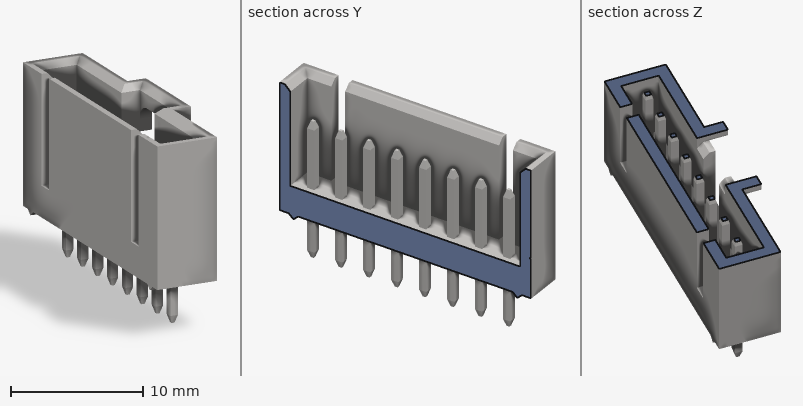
import cadquery as cq


body_length = 22.85
body_depth = 5.05
body_height = 11.43
rim_width = 0.5
lead_in = 0.5
wall = rim_width + lead_in
floor_height = 2.54

key_width = 7.64
key_projection = 1.55
key_height = 3.8
key_window_height = 2.17
key_window_radius = 1.15
key_inner_width = key_width - 2 * wall

back_notch_width = 3.06
front_slot_width = 1.25
front_slot_spacing = 15.22

pin_count = 8
pin_pitch = 2.54
pin_width = 0.65
pin_tip_width = 0.25
pin_tip_length = 0.65
tail_length = 3.68
contact_height = 5.95

rib_width = 0.87
rib_height = 0.4
rib_spacing = pin_count * pin_pitch

front_face = -body_depth / 2
back_face = body_depth / 2
key_face = back_face + key_projection
key_bottom = body_height - key_height
key_window_top = key_bottom + key_window_height


def block(x_size, y_range, z_range, x_center=0.0):
    """Box centred on x_center, spanning the given Y and Z ranges."""
    y_size = y_range[1] - y_range[0]
    z_size = z_range[1] - z_range[0]
    return (
        cq.Workplane("XY")
        .box(x_size, y_size, z_size, centered=(True, False, False))
        .translate((x_center, y_range[0], z_range[0]))
    )


def tapered_opening(x_size, y_range, bottom, top):
    """Rectangular pocket whose mouth flares outward at 45 degrees on all four sides."""
    y_size = y_range[1] - y_range[0]
    y_center = sum(y_range) / 2
    flare_start = top - lead_in
    flare = (
        cq.Workplane("XY", origin=(0, y_center, flare_start))
        .rect(x_size, y_size)
        .workplane(offset=lead_in)
        .rect(x_size + 2 * lead_in, y_size + 2 * lead_in)
        .loft(ruled=True)
    )
    return block(x_size, y_range, (bottom, flare_start)).union(flare)


def make_shell():
    """Outer block with its key, without any openings."""
    body = block(body_length, (front_face, back_face), (0, body_height))
    key = block(key_width, (0, key_face), (key_bottom, body_height))
    return body.union(key)


def cut_cavity(shell):
    """Hollow the body and the key, flaring the rim and the low wall under the key."""
    cavity_length = body_length - 2 * wall
    cavity_y = (front_face + wall, back_face - wall)
    main_cavity = tapered_opening(cavity_length, cavity_y, floor_height, body_height)
    key_cavity = tapered_opening(
        key_inner_width, (0, key_face - wall), key_bottom, body_height
    )
    low_wall_flare = (
        cq.Workplane("YZ")
        .moveTo(cavity_y[1], key_bottom - lead_in)
        .lineTo(cavity_y[1] + lead_in, key_bottom)
        .lineTo(cavity_y[1], key_bottom)
        .close()
        .extrude(key_inner_width / 2, both=True)
    )
    return shell.cut(main_cavity).cut(key_cavity).cut(low_wall_flare)


def cut_key_window(shell):
    """Open the back of the key below a round-cornered top edge."""
    window = (
        block(key_inner_width, (key_face - wall, key_face), (key_bottom, key_window_top))
        .edges("|Y and >Z")
        .fillet(key_window_radius)
    )
    return shell.cut(window)


def cut_wall_gaps(shell):
    """Two slots in the front wall and a notch in the low back wall, down to the floor."""
    for side in (-1, 1):
        slot = block(
            front_slot_width,
            (front_face, front_face + wall),
            (floor_height, body_height),
            side * front_slot_spacing / 2,
        )
        shell = shell.cut(slot)
    notch = block(back_notch_width, (back_face - wall, back_face), (floor_height, key_bottom))
    return shell.cut(notch)


def make_rib(x_center):
    """V-shaped rib running the full depth of the body."""
    return (
        cq.Workplane("XZ", origin=(x_center, 0, 0))
        .moveTo(-rib_width / 2, 0)
        .lineTo(0, -rib_height)
        .lineTo(rib_width / 2, 0)
        .close()
        .extrude(body_depth / 2, both=True)
    )


def make_pin(x_center):
    """Square pin through the floor, with a tapered tip at both ends."""
    top = floor_height + contact_height
    shank_bottom = -tail_length + pin_tip_length
    shank_top = top - pin_tip_length
    return (
        cq.Workplane("XY", origin=(x_center, 0, -tail_length))
        .rect(pin_tip_width, pin_tip_width)
        .workplane(offset=pin_tip_length)
        .rect(pin_width, pin_width)
        .workplane(offset=shank_top - shank_bottom)
        .rect(pin_width, pin_width)
        .workplane(offset=pin_tip_length)
        .rect(pin_tip_width, pin_tip_width)
        .loft(ruled=True)
    )


result = cut_wall_gaps(cut_key_window(cut_cavity(make_shell())))
for side in (-1, 1):
    result = result.union(make_rib(side * rib_spacing / 2))
for index in range(pin_count):
    result = result.union(make_pin((index - (pin_count - 1) / 2) * pin_pitch))